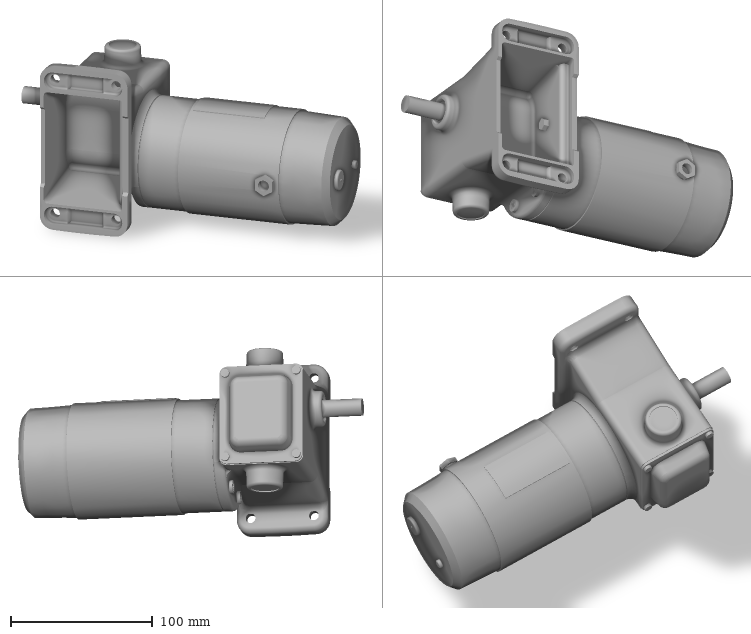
import cadquery as cq
import math

OVERLAP = 1.2
ARC_MIDPOINT = 1 - math.sqrt(0.5)
SELECT_MARGIN = 0.2

HOUSING_X = 35.5
HOUSING_WIDTH = 59.8
HOUSING_END_X = HOUSING_X + HOUSING_WIDTH
HOUSING_BACK_Y = 109.3
HOUSING_HALF_Z = 35.8
HOUSING_EDGE_RADIUS = 5.1
SPLAY_START_Y = 52.0
SPLAY_ANGLE = 10
SPLAY_SLOPE = math.tan(math.radians(SPLAY_ANGLE))

FLANGE_WIDTH = 65.2
FLANGE_END_X = HOUSING_X + FLANGE_WIDTH
FLANGE_MID_X = HOUSING_X + FLANGE_WIDTH / 2
FLANGE_THICKNESS = 12.2
FLANGE_HEIGHT = 121.8
FLANGE_HALF_Z = FLANGE_HEIGHT / 2
FLANGE_CROWN = 0.7
FLANGE_CORNER_RADIUS = 9.8
FLANGE_EDGE_RADIUS = 3.7
FLANGE_ROOT_RADIUS = 5.0
RELIEF_DEPTH = 2.5
RELIEF_HALF_Z = 29.6
RELIEF_BEVEL = 2.0

BOLT_HOLE_DIAMETER = 6.9
BOLT_X = (45.0, 90.5)
BOLT_Z = 50.0
RECESS_MID_X = sum(BOLT_X) / 2
RECESS_LENGTH = 58.3
RECESS_WIDTH = 13.2
PAD_DEPTH = 5.6
RECESS_DEPTH = 8.0
RECESS_FLOOR_RADIUS = 1.5
DEEP_LENGTH_TOP = 26.7
DEEP_LENGTH_FLOOR = 23.0

POCKET_X = 38.5
POCKET_FLOOR_X = 40.5
MOUTH_END_X = 96.8
MOUTH_DEPTH = 8.3
MOUTH_LIP_RADIUS = 3.7
MOUTH_CORNER_RADIUS = 1.7
POCKET_END_X = 91.1
POCKET_MOUTH_HALF_Z = 41.5
POCKET_TAPER_DEPTH = 49.0
POCKET_MAX_DEPTH = 58.8
POCKET_SIDE_RADIUS = 2.7
POCKET_CREASE_RADIUS = 3.0
DOME_Y = 47.0
DOME_FLAT_HALF_Z = 16.0
DOME_RADIUS = 17.2
POCKET_SCREW_SIZE = 8.8
POCKET_SCREW_Y = 29.5
POCKET_SCREW_X = 87.2

SHAFT_Y = 70.3
SHAFT_Z = 12.2
SHAFT_RADIUS = 6.1
BOSS_X = 27.5
BOSS_RADIUS = 12.7
BOSS_EDGE_RADIUS = 2.2
BOSS_ROOT_RADIUS = 2.7
SEAL_RADIUS = 9.3
SEAL_INNER_RADIUS = 7.5
SEAL_DEPTH = 1.7

PLUG_X = 66.0
PLUG_Y = 92.4
PLUG_RADIUS = 12.7
PLUG_BASE_RADIUS = 13.2
PLUG_TOP_Z = 49.7
PLUG_EDGE_RADIUS = 2.0
PLUG_ROOT_RADIUS = 3.0
PLUG_DIMPLE_RADIUS = 9.8
PLUG_DIMPLE_DEPTH = 0.7

COVER_THICKNESS = 1.7
COVER_BACK_Y = HOUSING_BACK_Y + COVER_THICKNESS
COVER_INSET = 0.5
BULGE_TOP_Y = 123.5
BULGE_WIDTH_X = 45.0
BULGE_WIDTH_Z = 55.0
BULGE_CORNER_RADIUS = 8.3
BULGE_DRAFT = 13
BULGE_EDGE_RADIUS = 5.0
COVER_SCREW_RADIUS = 3.0
COVER_SCREW_HEIGHT = 2.2
COVER_SCREW_X = 25.5
COVER_SCREW_Z = 30.5

MOTOR_Y = 61.7
MOTOR_Z = -16.0
NECK_X = 93.5
NECK_END_X = 101.0
NECK_RADIUS = 40.0
NECK_EDGE_RADIUS = 2.2
NECK_ROOT_RADIUS = 5.1
FLARE_RADIUS = 43.4
FLARE_WIDTH = NECK_END_X - HOUSING_END_X
FLARE_HEIGHT = FLARE_RADIUS - NECK_RADIUS
FLARE_ARC_RADIUS = (FLARE_WIDTH ** 2 + FLARE_HEIGHT ** 2) / (2 * FLARE_HEIGHT)
GROOVE_RADIUS = 39.2
GROOVE_WIDTH = 1.0
SLEEVE_X = 131.3
SLEEVE_END_X = 206.0
SLEEVE_DIAMETER = 82.0
SLEEVE_RADIUS = SLEEVE_DIAMETER / 2
BELL_START_RADIUS = 40.0
BELL_SHOULDER_X = 237.2
BELL_SHOULDER_RADIUS = 38.7
BELL_END_X = 241.8
BELL_END_RADIUS = 33.8

LABEL_X = 133.5
LABEL_LENGTH = 53.0
LABEL_WIDTH = 29.0
LABEL_RADIUS = 41.6

NECK_SCREW_OFFSET_Y = 15.5
NECK_SCREW_OFFSET_Z = 27.5
NECK_SCREW_RADIUS = 4.7
NECK_SCREW_HEIGHT = 2.5
CROSS_TURNS = (45, 135)
CROSS_LENGTH = 6.0
CROSS_WIDTH = 2.0
CROSS_DEPTH = 1.2

END_SCREW_OFFSET_Y = 17.5
LARGE_END_SCREW_RADIUS = 7.4
SMALL_END_SCREW_RADIUS = 3.2
END_SCREW_TOP_X = 244.5
END_SCREW_EDGE = 1.0
CENTER_PIP_RADIUS = 0.7
TOTAL_LENGTH = 245.0

GLAND_X = 197.0
GLAND_ACROSS_FLATS = 13.0
GLAND_COLLAR_RADIUS = 6.0
GLAND_COLLAR_Y = 18.4
GLAND_FRONT_Y = 14.7
GLAND_BORE_DIAMETER = 8.0


def rod(x, end_x, y, z, radius):
    """Cylinder along X."""
    return cq.Workplane("YZ", origin=(x, y, z)).circle(radius).extrude(end_x - x)


def facing_back(x, y, z):
    """Sketch plane at y whose extrusions run toward +Y; its axes are X and -Z."""
    return cq.Workplane("XZ", origin=(x, y, z)).transformed(rotate=(180, 0, 0))


def splayed_half_z(y, at_face):
    """Half height in Z at distance y of a wall that narrows away from the mounting face."""
    return at_face - y * SPLAY_SLOPE


def make_housing():
    splay_half_z = HOUSING_HALF_Z + SPLAY_START_Y * SPLAY_SLOPE
    body = (
        cq.Workplane("YZ", origin=(HOUSING_X, 0, 0))
        .moveTo(0, splay_half_z)
        .lineTo(SPLAY_START_Y, HOUSING_HALF_Z)
        .lineTo(HOUSING_BACK_Y, HOUSING_HALF_Z)
        .lineTo(HOUSING_BACK_Y, -HOUSING_HALF_Z)
        .lineTo(SPLAY_START_Y, -HOUSING_HALF_Z)
        .lineTo(0, -splay_half_z)
        .close()
        .extrude(HOUSING_WIDTH)
    )
    sides = body.faces("<X or >X").edges("not |Z")
    return sides.fillet(HOUSING_EDGE_RADIUS)


def make_flange():
    end_z = FLANGE_HALF_Z - FLANGE_CROWN
    plate = (
        facing_back(0, 0, 0)
        .moveTo(HOUSING_X, end_z)
        .threePointArc((FLANGE_MID_X, FLANGE_HALF_Z), (FLANGE_END_X, end_z))
        .lineTo(FLANGE_END_X, -end_z)
        .threePointArc((FLANGE_MID_X, -FLANGE_HALF_Z), (HOUSING_X, -end_z))
        .close()
        .extrude(FLANGE_THICKNESS)
    )
    plate = plate.edges("|Y").fillet(FLANGE_CORNER_RADIUS)
    return plate.faces(">Y").edges().fillet(FLANGE_EDGE_RADIUS)


def make_gear_case():
    """Housing on its flange, with a concave fillet all along the joint."""
    case = make_housing().union(make_flange())
    joint_half_z = FLANGE_HALF_Z - FLANGE_CORNER_RADIUS
    joint = cq.selectors.BoxSelector(
        (HOUSING_X + FLANGE_CORNER_RADIUS, FLANGE_THICKNESS - SELECT_MARGIN, -joint_half_z),
        (HOUSING_END_X, FLANGE_THICKNESS + SELECT_MARGIN, joint_half_z),
    )
    return case.edges(joint).fillet(FLANGE_ROOT_RADIUS)


def make_relief():
    """Beveled step across the middle of the mounting face."""
    return (
        cq.Workplane("YZ", origin=(HOUSING_X - OVERLAP, 0, 0))
        .polyline([
            (0, RELIEF_HALF_Z),
            (RELIEF_DEPTH, RELIEF_HALF_Z - RELIEF_BEVEL),
            (RELIEF_DEPTH, RELIEF_BEVEL - RELIEF_HALF_Z),
            (0, -RELIEF_HALF_Z),
        ])
        .close()
        .extrude(FLANGE_WIDTH + 2 * OVERLAP)
    )


def make_bolt_recess(side):
    """Rounded slot with a deeper middle and two bolt holes."""
    z = side * BOLT_Z
    slot = facing_back(RECESS_MID_X, 0, z).slot2D(RECESS_LENGTH, RECESS_WIDTH).extrude(PAD_DEPTH)
    slot = slot.faces(">Y").edges().fillet(RECESS_FLOOR_RADIUS)
    deep = (
        cq.Workplane("XY", origin=(RECESS_MID_X, 0, z - RECESS_WIDTH / 2))
        .polyline([
            (-DEEP_LENGTH_TOP / 2, 0),
            (-DEEP_LENGTH_TOP / 2, PAD_DEPTH),
            (-DEEP_LENGTH_FLOOR / 2, RECESS_DEPTH),
            (DEEP_LENGTH_FLOOR / 2, RECESS_DEPTH),
            (DEEP_LENGTH_TOP / 2, PAD_DEPTH),
            (DEEP_LENGTH_TOP / 2, 0),
        ])
        .close()
        .extrude(RECESS_WIDTH)
        .faces(">Y")
        .edges("|X")
        .fillet(RECESS_FLOOR_RADIUS)
    )
    recess = slot.union(deep)
    for x in BOLT_X:
        hole = facing_back(x, 0, z).circle(BOLT_HOLE_DIAMETER / 2).extrude(FLANGE_THICKNESS)
        recess = recess.union(hole)
    return recess


def pocket_prism(end_x):
    """Pocket between the splayed walls, closed by the rounded dome; square at both X ends."""
    wall_z = splayed_half_z(POCKET_TAPER_DEPTH, POCKET_MOUTH_HALF_Z)
    dome_center_y = DOME_Y + DOME_RADIUS
    crease_z = wall_z - POCKET_CREASE_RADIUS
    center_distance = DOME_RADIUS + POCKET_CREASE_RADIUS
    crease_offset_z = crease_z - DOME_FLAT_HALF_Z
    crease_offset_y = math.sqrt(center_distance ** 2 - crease_offset_z ** 2)
    crease_y = dome_center_y - crease_offset_y
    touch_y = dome_center_y - crease_offset_y * DOME_RADIUS / center_distance
    touch_z = DOME_FLAT_HALF_Z + crease_offset_z * DOME_RADIUS / center_distance
    return (
        cq.Workplane("YZ", origin=(POCKET_X, 0, 0))
        .moveTo(0, POCKET_MOUTH_HALF_Z)
        .lineTo(POCKET_TAPER_DEPTH, wall_z)
        .lineTo(crease_y, wall_z)
        .radiusArc((touch_y, touch_z), POCKET_CREASE_RADIUS)
        .radiusArc((DOME_Y, DOME_FLAT_HALF_Z), -DOME_RADIUS)
        .lineTo(DOME_Y, -DOME_FLAT_HALF_Z)
        .radiusArc((touch_y, -touch_z), -DOME_RADIUS)
        .radiusArc((crease_y, -wall_z), POCKET_CREASE_RADIUS)
        .lineTo(POCKET_TAPER_DEPTH, -wall_z)
        .lineTo(0, -POCKET_MOUTH_HALF_Z)
        .close()
        .extrude(end_x - POCKET_X)
    )


def make_pocket():
    end_walls = (
        cq.Workplane("XY", origin=(0, 0, -POCKET_MOUTH_HALF_Z))
        .polyline([
            (POCKET_X, 0),
            (POCKET_FLOOR_X, POCKET_MAX_DEPTH),
            (POCKET_END_X, POCKET_MAX_DEPTH),
            (POCKET_END_X, 0),
        ])
        .close()
        .extrude(2 * POCKET_MOUTH_HALF_Z)
    )
    pocket = pocket_prism(POCKET_END_X).intersect(end_walls)
    pocket = pocket.faces("<X or >X").edges("not <Y").fillet(POCKET_SIDE_RADIUS)

    lip_y = MOUTH_DEPTH + MOUTH_LIP_RADIUS
    start_x = POCKET_END_X - OVERLAP - POCKET_SIDE_RADIUS
    mouth_walls = (
        cq.Workplane("XY", origin=(0, 0, -POCKET_MOUTH_HALF_Z))
        .moveTo(start_x, 0)
        .lineTo(start_x, lip_y)
        .lineTo(POCKET_END_X, lip_y)
        .radiusArc((POCKET_END_X + MOUTH_LIP_RADIUS, MOUTH_DEPTH), -MOUTH_LIP_RADIUS)
        .lineTo(MOUTH_END_X, MOUTH_DEPTH)
        .lineTo(MOUTH_END_X, 0)
        .close()
        .extrude(2 * POCKET_MOUTH_HALF_Z)
    )
    mouth = pocket_prism(MOUTH_END_X).intersect(mouth_walls)
    mouth = mouth.faces(">X").edges("not <Y").fillet(MOUTH_CORNER_RADIUS)
    return pocket.union(mouth)


def make_pocket_screw():
    return (
        cq.Workplane("YZ", origin=(POCKET_SCREW_X, POCKET_SCREW_Y, 0))
        .transformed(rotate=(0, 0, 90))
        .polygon(6, POCKET_SCREW_SIZE)
        .extrude(POCKET_END_X + OVERLAP - POCKET_SCREW_X)
    )


def make_output_shaft():
    base_radius = BOSS_RADIUS + BOSS_ROOT_RADIUS
    root_x = HOUSING_X - BOSS_ROOT_RADIUS
    root_mid = BOSS_ROOT_RADIUS * ARC_MIDPOINT
    boss = (
        cq.Workplane("XY", origin=(0, SHAFT_Y, SHAFT_Z))
        .moveTo(BOSS_X, 0)
        .lineTo(BOSS_X, BOSS_RADIUS)
        .lineTo(root_x, BOSS_RADIUS)
        .threePointArc((HOUSING_X - root_mid, BOSS_RADIUS + root_mid), (HOUSING_X, base_radius))
        .lineTo(HOUSING_X + OVERLAP, base_radius)
        .lineTo(HOUSING_X + OVERLAP, 0)
        .close()
        .revolve(360, (0, 0, 0), (1, 0, 0))
    )
    boss = boss.faces("<X").edges().fillet(BOSS_EDGE_RADIUS)
    seal = (
        cq.Workplane("YZ", origin=(BOSS_X, SHAFT_Y, SHAFT_Z))
        .circle(SEAL_RADIUS)
        .workplane(offset=SEAL_DEPTH)
        .circle(SEAL_INNER_RADIUS)
        .loft()
    )
    return boss.cut(seal).union(rod(0, HOUSING_X, SHAFT_Y, SHAFT_Z, SHAFT_RADIUS))


def make_plug(side):
    height = PLUG_TOP_Z - HOUSING_HALF_Z
    root = PLUG_ROOT_RADIUS
    mid = root * ARC_MIDPOINT
    plug = (
        cq.Workplane("XZ", origin=(PLUG_X, PLUG_Y, HOUSING_HALF_Z))
        .moveTo(0, -OVERLAP)
        .lineTo(PLUG_BASE_RADIUS + root, -OVERLAP)
        .lineTo(PLUG_BASE_RADIUS + root, 0)
        .threePointArc((PLUG_BASE_RADIUS + mid, mid), (PLUG_BASE_RADIUS, root))
        .lineTo(PLUG_RADIUS, height)
        .lineTo(0, height)
        .close()
        .revolve(360, (0, 0, 0), (0, 1, 0))
    )
    plug = plug.faces(">Z").edges().fillet(PLUG_EDGE_RADIUS)
    top = plug.faces(">Z").workplane(origin=(PLUG_X, PLUG_Y, 0))
    plug = top.circle(PLUG_DIMPLE_RADIUS).cutBlind(-PLUG_DIMPLE_DEPTH)
    if side < 0:
        plug = plug.mirror("XY")
    return plug


def make_cover():
    mid_x = HOUSING_X + HOUSING_WIDTH / 2
    cover = (
        facing_back(mid_x, HOUSING_BACK_Y, 0)
        .rect(HOUSING_WIDTH - 2 * COVER_INSET, 2 * (HOUSING_HALF_Z - COVER_INSET))
        .extrude(COVER_THICKNESS)
        .edges("|Y")
        .fillet(HOUSING_EDGE_RADIUS)
    )
    bulge = (
        facing_back(mid_x, COVER_BACK_Y, 0)
        .sketch()
        .rect(BULGE_WIDTH_X, BULGE_WIDTH_Z)
        .vertices()
        .fillet(BULGE_CORNER_RADIUS)
        .finalize()
        .extrude(BULGE_TOP_Y - COVER_BACK_Y, taper=BULGE_DRAFT)
    )
    bulge = bulge.faces(">Y").edges().fillet(BULGE_EDGE_RADIUS)
    screws = (
        facing_back(mid_x, COVER_BACK_Y, 0)
        .rect(2 * COVER_SCREW_X, 2 * COVER_SCREW_Z, forConstruction=True)
        .vertices()
        .circle(COVER_SCREW_RADIUS)
        .extrude(COVER_SCREW_HEIGHT)
    )
    return cover.union(bulge).union(screws)


def make_motor_body():
    return (
        cq.Workplane("XY", origin=(0, MOTOR_Y, MOTOR_Z))
        .moveTo(NECK_X, 0)
        .lineTo(NECK_X, NECK_RADIUS - NECK_EDGE_RADIUS)
        .radiusArc((NECK_X + NECK_EDGE_RADIUS, NECK_RADIUS), NECK_EDGE_RADIUS)
        .lineTo(NECK_END_X, NECK_RADIUS)
        .lineTo(NECK_END_X, GROOVE_RADIUS)
        .lineTo(NECK_END_X + GROOVE_WIDTH, GROOVE_RADIUS)
        .lineTo(NECK_END_X + GROOVE_WIDTH, NECK_RADIUS)
        .lineTo(SLEEVE_X, NECK_RADIUS)
        .lineTo(SLEEVE_X, SLEEVE_RADIUS)
        .lineTo(SLEEVE_END_X, SLEEVE_RADIUS)
        .lineTo(SLEEVE_END_X, BELL_START_RADIUS)
        .lineTo(BELL_SHOULDER_X, BELL_SHOULDER_RADIUS)
        .lineTo(BELL_END_X, BELL_END_RADIUS)
        .lineTo(BELL_END_X, 0)
        .close()
        .revolve(360, (0, 0, 0), (1, 0, 0))
    )


def make_motor_flare():
    """Concave ring that blends the motor neck into the housing side."""
    start_x = HOUSING_END_X - OVERLAP
    ring = (
        cq.Workplane("XY", origin=(0, MOTOR_Y, MOTOR_Z))
        .moveTo(NECK_END_X, 0)
        .lineTo(NECK_END_X, NECK_RADIUS)
        .radiusArc((HOUSING_END_X, FLARE_RADIUS), FLARE_ARC_RADIUS)
        .lineTo(start_x, FLARE_RADIUS)
        .lineTo(start_x, 0)
        .close()
        .revolve(360, (0, 0, 0), (1, 0, 0))
    )
    behind_housing = cq.Workplane("XY").box(
        NECK_END_X, 2 * HOUSING_BACK_Y, 2 * (HOUSING_HALF_Z - HOUSING_EDGE_RADIUS)
    ).translate((HOUSING_END_X, 0, 0))
    return ring.intersect(behind_housing)


def make_neck_root():
    """Concave fillet between the housing side and the front of the motor neck."""
    radius = NECK_ROOT_RADIUS
    mid = radius * ARC_MIDPOINT
    wall_z = -HOUSING_HALF_Z
    strip = (
        facing_back(0, 0, 0)
        .moveTo(NECK_X, radius - wall_z)
        .threePointArc((NECK_X - mid, mid - wall_z), (NECK_X - radius, -wall_z))
        .lineTo(NECK_X - radius, -wall_z - OVERLAP)
        .lineTo(NECK_X + OVERLAP, -wall_z - OVERLAP)
        .lineTo(NECK_X + OVERLAP, radius - wall_z)
        .close()
        .extrude(HOUSING_BACK_Y)
    )
    front = rod(HOUSING_X, HOUSING_END_X, MOTOR_Y, MOTOR_Z, NECK_RADIUS - NECK_EDGE_RADIUS)
    return strip.intersect(front)


def make_neck_screw(side):
    """Round-head screw with a crossed recess, on the front of the motor neck."""
    y = MOTOR_Y + side * NECK_SCREW_OFFSET_Y
    z = MOTOR_Z - NECK_SCREW_OFFSET_Z
    head_x = NECK_X - NECK_SCREW_HEIGHT
    head = rod(head_x, NECK_X + OVERLAP, y, z, NECK_SCREW_RADIUS)
    for turn in CROSS_TURNS:
        bar = (
            cq.Workplane("YZ", origin=(head_x, y, z))
            .transformed(rotate=(0, 0, turn))
            .rect(CROSS_LENGTH, CROSS_WIDTH)
            .extrude(CROSS_DEPTH)
        )
        head = head.cut(bar)
    return head


def make_end_screw(offset_y, radius):
    head = rod(BELL_END_X - OVERLAP, END_SCREW_TOP_X, MOTOR_Y + offset_y, MOTOR_Z, radius)
    return head.faces(">X").edges().fillet(END_SCREW_EDGE)


def make_label():
    band = rod(LABEL_X, LABEL_X + LABEL_LENGTH, MOTOR_Y, MOTOR_Z, LABEL_RADIUS)
    window = cq.Workplane("XY", origin=(LABEL_X, MOTOR_Y, MOTOR_Z)).box(
        LABEL_LENGTH, LABEL_WIDTH, LABEL_RADIUS, centered=(False, True, False)
    )
    return band.intersect(window)


def make_cable_gland():
    case_y = MOTOR_Y - SLEEVE_RADIUS
    collar_length = case_y + OVERLAP - GLAND_COLLAR_Y
    collar = (
        facing_back(GLAND_X, GLAND_COLLAR_Y, MOTOR_Z)
        .circle(GLAND_COLLAR_RADIUS)
        .extrude(collar_length)
    )
    across_corners = GLAND_ACROSS_FLATS / math.cos(math.radians(30))
    nut = (
        facing_back(GLAND_X, GLAND_FRONT_Y, MOTOR_Z)
        .transformed(rotate=(0, 0, 90))
        .polygon(6, across_corners)
        .extrude(GLAND_COLLAR_Y - GLAND_FRONT_Y)
    )
    bore = (
        facing_back(GLAND_X, GLAND_FRONT_Y, MOTOR_Z)
        .circle(GLAND_BORE_DIAMETER / 2)
        .extrude(case_y - GLAND_FRONT_Y)
    )
    return collar.union(nut).cut(bore)


result = make_gear_case()
result = result.union(make_motor_body()).union(make_motor_flare()).union(make_neck_root())
result = result.cut(make_pocket()).cut(make_relief())
for side in (-1, 1):
    result = result.cut(make_bolt_recess(side))
    result = result.union(make_plug(side))
    result = result.union(make_neck_screw(side))
result = result.union(make_output_shaft()).union(make_cover()).union(make_pocket_screw())
result = result.union(make_label()).union(make_cable_gland())
result = result.union(make_end_screw(-END_SCREW_OFFSET_Y, LARGE_END_SCREW_RADIUS))
result = result.union(make_end_screw(END_SCREW_OFFSET_Y, SMALL_END_SCREW_RADIUS))
result = result.union(
    rod(BELL_END_X, TOTAL_LENGTH, MOTOR_Y - END_SCREW_OFFSET_Y, MOTOR_Z, CENTER_PIP_RADIUS)
)